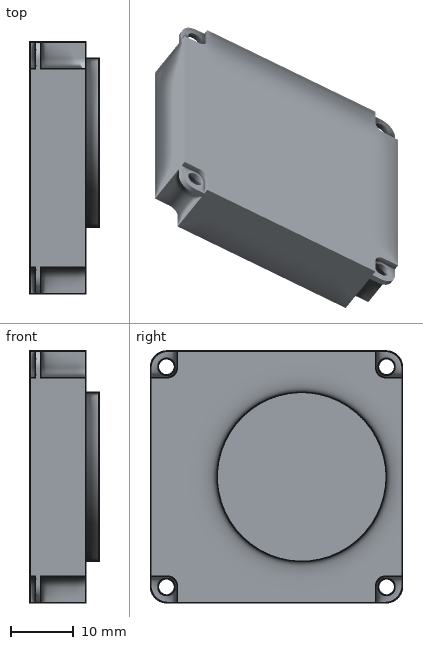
import cadquery as cq

side = 40.0
total_depth = 11.0
body_depth = 8.9

boss_diameter = 26.9
boss_offset_y = 4.0
boss_height = total_depth - body_depth

lug_front = 0.9
lug_thickness = 0.9
lug_corner_radius = 2.7
hole_diameter = 2.6
hole_inset = 2.5
notch_size = 4.25
notch_radius = 1.65

half_side = side / 2
lug_back = lug_front + lug_thickness


def yz_plane(x):
    """Plane facing +X at depth x, with local axes along Y and Z."""
    return cq.Workplane("YZ", origin=(x, 0, 0))


def square_slab(x_start, x_end):
    return yz_plane(x_start).rect(side, side).extrude(x_end - x_start)


def notched_slab(x_start, x_end):
    """Square slab with a round-cornered notch cut out of every corner."""
    corner_cutters = (
        yz_plane(x_start)
        .rect(side, side, forConstruction=True)
        .vertices()
        .rect(2 * notch_size, 2 * notch_size)
        .extrude(x_end - x_start)
        .edges("|X")
        .fillet(notch_radius)
    )
    return square_slab(x_start, x_end).cut(corner_cutters)


def lug_slab():
    """Layer that carries the four rounded lugs and their through holes."""
    hole_spacing = 2 * (half_side - hole_inset)
    return (
        square_slab(lug_front, lug_back)
        .edges("|X")
        .fillet(lug_corner_radius)
        .faces(">X")
        .workplane(origin=(lug_back, 0, 0))
        .rect(hole_spacing, hole_spacing, forConstruction=True)
        .vertices()
        .hole(hole_diameter)
    )


def boss():
    return yz_plane(body_depth).center(boss_offset_y, 0).circle(boss_diameter / 2).extrude(boss_height)


result = (
    notched_slab(0, lug_front)
    .union(lug_slab())
    .union(notched_slab(lug_back, body_depth))
    .union(boss())
)